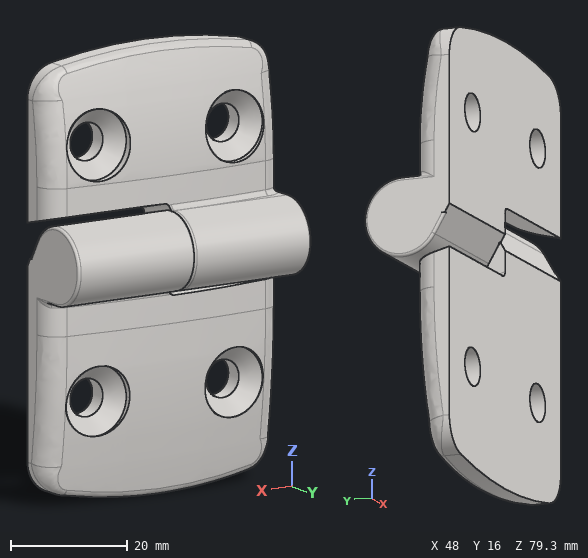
import cadquery as cq
import math


width = 48.0
overall_depth = 15.95
overall_height = 79.25
knuckle_radius = 7.0
axis_y = overall_depth - knuckle_radius

upper_leaf_length = 35.6
lower_leaf_length = overall_height - upper_leaf_length
end_arc_radius = 100.0
corner_radius = 6.0

crown_height = 7.95
crown_radius_across = 200.0
crown_start = 13.0
upper_crown_radius = 83.0
lower_crown_radius = 155.0
crown_sweep = 60.0
side_round = 4.0
end_round = 1.5

leaf_foot = 1.45
knuckle_gap = 0.06
knuckle_outer_round = 0.5
knuckle_inner_round = 0.35
root_round = 0.9
recess_height = 6.15
recess_slope = 14.0
recess_corner_round = 1.0

hole_spacing = 28.0
upper_hole_height = 19.8
lower_hole_height = 25.2
hole_diameter = 6.7
hole_neck = 3.3
head_diameter = 12.5
countersink_angle = 90.0

half_width = width / 2
inner_end = -knuckle_gap / 2
slope_angle = math.radians(recess_slope)


def outline_blank(length):
    """Leaf outline with an arched end and round corners, extruded through the full depth."""
    arc_centre = length - end_arc_radius
    corner_x = half_width - corner_radius
    to_corner = end_arc_radius - corner_radius
    corner_z = arc_centre + math.sqrt(to_corner**2 - corner_x**2)
    tangent_x = corner_x * end_arc_radius / to_corner
    tangent_z = arc_centre + (corner_z - arc_centre) * end_arc_radius / to_corner
    mid_x = corner_x + corner_radius * math.sin(math.pi / 4)
    mid_z = corner_z + corner_radius * math.cos(math.pi / 4)
    return (
        cq.Workplane("XZ")
        .moveTo(-half_width, 0)
        .lineTo(-half_width, corner_z)
        .threePointArc((-mid_x, mid_z), (-tangent_x, tangent_z))
        .threePointArc((0, length), (tangent_x, tangent_z))
        .threePointArc((mid_x, mid_z), (half_width, corner_z))
        .lineTo(half_width, 0)
        .close()
        .extrude(-overall_depth)
    )


def crown_section(z):
    """Cross-section of the crown at height z: flat back, shallow arc in front."""
    reach = half_width + 1
    edge_y = crown_height - crown_radius_across + math.sqrt(crown_radius_across**2 - reach**2)
    return (
        cq.Workplane("XY", origin=(0, 0, z))
        .moveTo(-reach, 0)
        .lineTo(-reach, edge_y)
        .threePointArc((0, crown_height), (reach, edge_y))
        .lineTo(reach, 0)
        .close()
    )


def crown_envelope(crown_radius):
    """Straight crown beside the hinge axis, curving back toward the end of the leaf."""
    straight = crown_section(0).extrude(crown_start)
    pivot_y = crown_height - crown_radius
    curved = crown_section(crown_start).revolve(crown_sweep, (0, pivot_y, 0), (1, pivot_y, 0))
    return straight.union(curved)


def round_rim(plate):
    """Round the crown's rim: large along the sides, blending to small around the corners."""
    rim_start = (
        plate.edges("|Z").edges(cq.NearestToPointSelector((half_width, crown_height, crown_start / 2))).val()
    )
    side, end = side_round, end_round
    radii = [(side, side), (side, side), (side, end), (end, end), (end, side), (side, side), (side, side)]
    blend = cq.occ_impl.shapes.BRepFilletAPI_MakeFillet(plate.val().wrapped)
    blend.Add(rim_start.wrapped)
    for index, (first, last) in enumerate(radii, start=1):
        if first == last:
            blend.SetRadius(first, 1, index)
        else:
            blend.SetRadius(first, last, 1, index)
    return cq.Workplane(cq.Shape.cast(blend.Shape()).Solids()[0])


def foot_slope_tangent():
    """Point (Y, Z) where the slope from the leaf's foot touches the knuckle."""
    distance = math.hypot(axis_y, leaf_foot)
    run = math.sqrt(distance**2 - knuckle_radius**2)
    angle = math.atan2(leaf_foot, axis_y) + math.asin(knuckle_radius / distance)
    return run * math.cos(angle), leaf_foot - run * math.sin(angle)


def knuckle():
    """Round barrel with a flat top and a slope running back to the leaf's foot."""
    tangent_y, tangent_z = foot_slope_tangent()
    barrel = (
        cq.Workplane("YZ", origin=(-half_width, 0, 0))
        .moveTo(0, leaf_foot)
        .lineTo(tangent_y, tangent_z)
        .threePointArc((overall_depth, 0), (axis_y, knuckle_radius))
        .lineTo(0, knuckle_radius)
        .close()
        .extrude(half_width + inner_end)
    )
    barrel = barrel.faces("<X").edges("%CIRCLE").fillet(knuckle_outer_round)
    return barrel.faces(">X").edges("%CIRCLE").fillet(knuckle_inner_round)


def foot_cut():
    """Wedge below the foot slope, on the knuckle side of the leaf."""
    tangent_y, tangent_z = foot_slope_tangent()
    return (
        cq.Workplane("YZ", origin=(-half_width, 0, 0))
        .polyline([(0, leaf_foot), (tangent_y, tangent_z), (0, tangent_z)])
        .close()
        .extrude(width)
    )


def recess_cut():
    """Space for the other leaf's knuckle, with a sloped floor and one round inner corner."""
    rise = overall_depth * math.tan(slope_angle)
    block = (
        cq.Workplane("YZ", origin=(inner_end, 0, 0))
        .polyline(
            [
                (0, -knuckle_radius),
                (0, recess_height),
                (overall_depth, recess_height + rise),
                (overall_depth, -knuckle_radius),
            ]
        )
        .close()
        .extrude(width)
    )
    return block.faces("<X").edges(">Z").fillet(recess_corner_round)


def screw_holes(height):
    """Through holes with a conical countersink that ends in a straight recess for the head."""
    head_radius = head_diameter / 2
    hole_radius = hole_diameter / 2
    cone_end = hole_neck + (head_radius - hole_radius) / math.tan(math.radians(countersink_angle / 2))
    cutter = (
        cq.Workplane("XY")
        .polyline(
            [
                (0, 0),
                (hole_radius, 0),
                (hole_radius, hole_neck),
                (head_radius, cone_end),
                (head_radius, overall_depth),
                (0, overall_depth),
            ]
        )
        .close()
        .revolve(360, (0, 0, 0), (0, 1, 0))
    )
    left = cutter.translate((-hole_spacing / 2, 0, height))
    right = cutter.translate((hole_spacing / 2, 0, height))
    return left.union(right)


def leaf(length, crown_radius, hole_height):
    """Leaf standing up from the hinge axis, with its knuckle on the -X half."""
    plate = round_rim(outline_blank(length).intersect(crown_envelope(crown_radius)))
    plate = plate.cut(foot_cut()).cut(recess_cut())
    body = plate.union(knuckle())
    root = cq.NearestToPointSelector((-half_width / 2, crown_height, knuckle_radius))
    body = body.edges("%CIRCLE").edges(root).fillet(root_round)
    return body.cut(screw_holes(hole_height))


upper_leaf = leaf(upper_leaf_length, upper_crown_radius, upper_hole_height)
lower_leaf = leaf(lower_leaf_length, lower_crown_radius, lower_hole_height).rotate(
    (0, 0, 0), (0, 1, 0), 180
)

result = cq.Compound.makeCompound([upper_leaf.val(), lower_leaf.val()])